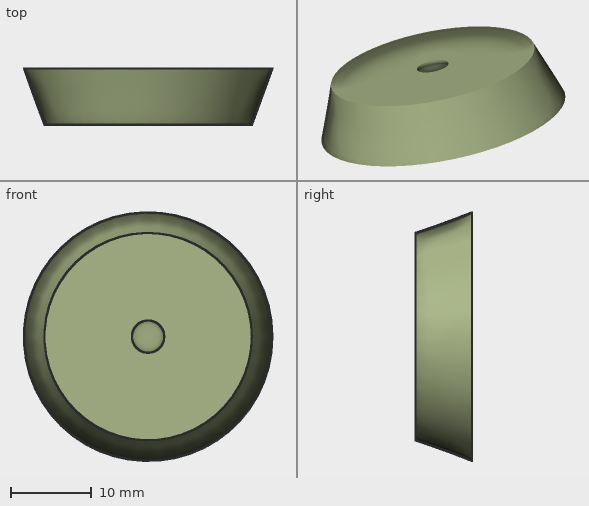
import cadquery as cq
import math

wide_diameter = 30.7
thickness = 7.0
side_taper = 20

pocket_diameter = 4
pocket_depth = 0.5

wide_radius = wide_diameter / 2
narrow_radius = wide_radius - thickness * math.tan(math.radians(side_taper))


def make_disc():
    """Solid cone frustum with its narrow face on Y = 0 and wide face at Y = thickness."""
    profile = (
        cq.Workplane("XY")
        .lineTo(narrow_radius, 0)
        .lineTo(wide_radius, thickness)
        .lineTo(0, thickness)
        .close()
    )
    return profile.revolve(360, (0, 0, 0), (0, 1, 0))


def make_pocket():
    """Cylinder that reaches from the narrow face into the disc."""
    return cq.Workplane("XZ").circle(pocket_diameter / 2).extrude(-pocket_depth)


result = make_disc().cut(make_pocket())